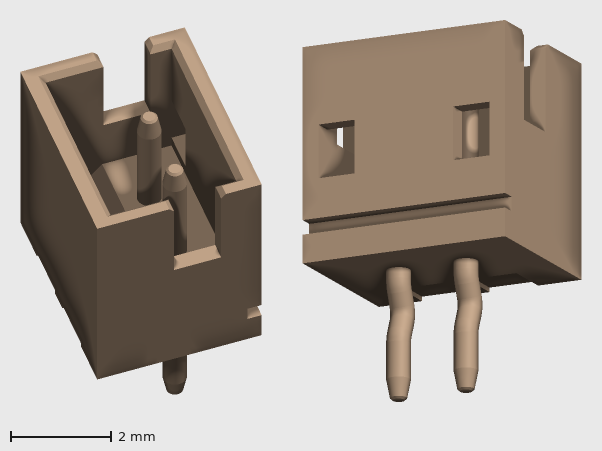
import cadquery as cq
import math

width = 4.5
depth = 3.5
height = 4.5
side_wall = 0.35
end_wall = 0.41
rim_chamfer_width = 0.115
rim_chamfer_height = 0.115

upper_floor = 1.5
slope_top_y = -0.14
slope_size = 0.27

slot_width = 1.0
slot_y = 0.39
slot_bottom = 2.65
slot_chamfer = 0.1

window_bottom = 1.73
window_top = 2.845
window_inner_x = 1.095

groove_bottom = 0.6
groove_height = 0.3
groove_depth = 0.3
recess_width = 1.08
recess_height = 0.09
recess_depth = 1.0

pin_pitch = 1.5
pin_y = 0.45
pin_diameter = 0.5
pin_top = 3.9
pin_bottom = height - 7.2
taper_length = 0.425
taper_end_diameter = 0.345
tip_height = 0.04
tip_diameter = 0.25
bend_start = -0.21
bend_angle = 22
outer_bend_radius = 0.575
middle_bend_radius = 0.43
bend_offset = 0.19

inner_width = width - 2 * side_wall
inner_depth = depth - 2 * end_wall
pin_positions = (-pin_pitch / 2, pin_pitch / 2)


def box(x_size, y_range, z_range, x_center=0):
    """Box centred on x_center, spanning the given Y and Z ranges."""
    y_min, y_max = y_range
    z_min, z_max = z_range
    corner = (x_center - x_size / 2, y_min, z_min)
    return cq.Workplane("XY").box(x_size, y_max - y_min, z_max - z_min, centered=False).translate(corner)


def cavity():
    """Open cavity with a stepped floor and a flared rim."""
    half_depth = inner_depth / 2
    lower_floor = upper_floor - slope_size
    profile = [
        (half_depth, height),
        (half_depth, upper_floor),
        (slope_top_y, upper_floor),
        (slope_top_y - slope_size, lower_floor),
        (-half_depth, lower_floor),
        (-half_depth, height),
    ]
    well = cq.Workplane("YZ").polyline(profile).close().extrude(inner_width / 2, both=True)
    flare = (
        cq.Workplane("XY", origin=(0, 0, height - rim_chamfer_height))
        .rect(inner_width, inner_depth)
        .workplane(offset=rim_chamfer_height)
        .rect(inner_width + 2 * rim_chamfer_width, inner_depth + 2 * rim_chamfer_width)
        .loft(ruled=True)
    )
    return well.union(flare)


def side_slots():
    """Slot through both side walls, chamfered at its mouth."""
    half = slot_width / 2
    profile = [
        (slot_y - half, slot_bottom),
        (slot_y + half, slot_bottom),
        (slot_y + half, height - slot_chamfer),
        (slot_y + half + slot_chamfer, height),
        (slot_y - half - slot_chamfer, height),
        (slot_y - half, height - slot_chamfer),
    ]
    return cq.Workplane("YZ").polyline(profile).close().extrude(width / 2, both=True)


def housing():
    body = box(width, (-depth / 2, depth / 2), (0, height))
    body = body.cut(cavity()).cut(side_slots())

    window_width = inner_width / 2 - window_inner_x
    window_x = window_inner_x + window_width / 2
    for x in (-window_x, window_x):
        window = box(window_width, (depth / 2 - end_wall, depth / 2), (window_bottom, window_top), x)
        body = body.cut(window)

    groove_top = groove_bottom + groove_height
    body = body.cut(box(width, (depth / 2 - groove_depth, depth / 2), (groove_bottom, groove_top)))

    for x in pin_positions:
        recess = box(recess_width, (-depth / 2, -depth / 2 + recess_depth), (0, recess_height), x)
        body = body.cut(recess)
    return body


def pin_end(base_z, direction):
    """Tapered tip starting at base_z; direction is +1 for up, -1 for down."""
    cone_z = base_z + direction * (taper_length - tip_height)
    tip_z = base_z + direction * taper_length
    profile = [
        (0, base_z),
        (pin_diameter / 2, base_z),
        (taper_end_diameter / 2, cone_z),
        (tip_diameter / 2, tip_z),
        (0, tip_z),
    ]
    return cq.Workplane("XZ").polyline(profile).close().revolve(360, (0, 0), (0, 1))


def pin():
    """Round pin on the Z axis with a kink toward -Y below the housing."""
    angle = math.radians(bend_angle)
    sine = math.sin(angle)
    cosine = math.cos(angle)
    first_y = -outer_bend_radius * (1 - cosine)
    first_drop = outer_bend_radius * sine
    middle_y = -bend_offset + middle_bend_radius * (1 - cosine)
    straight_drop = (first_y - middle_y) / math.tan(angle)
    middle_half = middle_bend_radius * sine
    half_height = first_drop + straight_drop + middle_half
    apex_z = bend_start - half_height
    bend_end = bend_start - 2 * half_height
    arc_mid_y = -outer_bend_radius * (1 - math.cos(angle / 2))
    arc_mid_drop = outer_bend_radius * math.sin(angle / 2)

    upper_taper = pin_top - taper_length
    lower_taper = pin_bottom + taper_length
    path = (
        cq.Workplane("YZ")
        .moveTo(0, upper_taper)
        .lineTo(0, bend_start)
        .threePointArc((arc_mid_y, bend_start - arc_mid_drop), (first_y, bend_start - first_drop))
        .lineTo(middle_y, apex_z + middle_half)
        .threePointArc((-bend_offset, apex_z), (middle_y, apex_z - middle_half))
        .lineTo(first_y, bend_end + first_drop)
        .threePointArc((arc_mid_y, bend_end + arc_mid_drop), (0, bend_end))
        .lineTo(0, lower_taper)
    )
    shaft = cq.Workplane("XY", origin=(0, 0, upper_taper)).circle(pin_diameter / 2).sweep(path)
    return shaft.union(pin_end(upper_taper, 1)).union(pin_end(lower_taper, -1))


result = housing()
for pin_x in pin_positions:
    result = result.union(pin().translate((pin_x, pin_y, 0)))